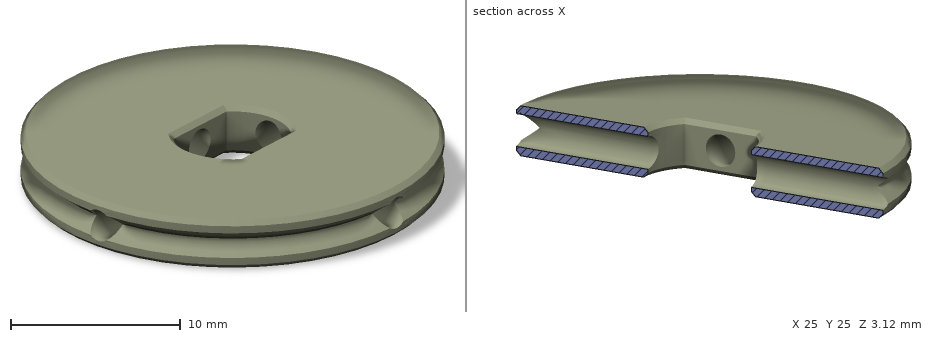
import cadquery as cq

disc_diameter = 25.0
disc_thickness = 3.12
edge_chamfer = 0.3

groove_width = 1.6
groove_depth = 1.0

bore_diameter = 7.0
bore_across_flats = 4.97
bore_chamfer = 0.3

radial_hole_diameter = 2.0
radial_hole_count = 4

seam_turn = 45

disc_radius = disc_diameter / 2
half_thickness = disc_thickness / 2


def grooved_disc():
    """Disc centred on the origin with chamfered rims and a V-groove around its edge."""
    rim_face_radius = disc_radius - edge_chamfer
    rim_height = half_thickness - edge_chamfer
    half_groove = groove_width / 2
    return (
        cq.Workplane("XZ")
        .moveTo(0, -half_thickness)
        .lineTo(rim_face_radius, -half_thickness)
        .lineTo(disc_radius, -rim_height)
        .lineTo(disc_radius, -half_groove)
        .lineTo(disc_radius - groove_depth, 0)
        .lineTo(disc_radius, half_groove)
        .lineTo(disc_radius, rim_height)
        .lineTo(rim_face_radius, half_thickness)
        .lineTo(0, half_thickness)
        .close()
        .revolve(360, (0, 0, 0), (0, 1, 0))
    )


def double_flat_bore():
    """Cutter for the round bore with two flats facing along X."""
    round_bore = cq.Workplane("XY").circle(bore_diameter / 2).extrude(half_thickness, both=True)
    flats = cq.Workplane("XY").box(bore_across_flats, bore_diameter, disc_thickness)
    return round_bore.intersect(flats)


def bore_mouth():
    """Cutter that chamfers the +Z mouth of the bore by the same amount on arcs and flats."""
    mouth_radius = bore_diameter / 2 + bore_chamfer
    mouth_across_flats = bore_across_flats + 2 * bore_chamfer
    cone = cq.Workplane("XY").add(
        cq.Solid.makeCone(
            bore_diameter / 2,
            mouth_radius,
            bore_chamfer,
            pnt=cq.Vector(0, 0, half_thickness - bore_chamfer),
        )
    )
    wedge = (
        cq.Workplane("XZ")
        .moveTo(-bore_across_flats / 2, half_thickness - bore_chamfer)
        .lineTo(bore_across_flats / 2, half_thickness - bore_chamfer)
        .lineTo(mouth_across_flats / 2, half_thickness)
        .lineTo(-mouth_across_flats / 2, half_thickness)
        .close()
        .extrude(mouth_radius, both=True)
    )
    return cone.intersect(wedge)


def radial_hole(direction):
    """Cutter for one hole from the bore out through the rim, pointing at the given angle about Z."""
    hole = cq.Workplane("YZ").circle(radial_hole_diameter / 2).extrude(disc_diameter)
    hole = hole.rotate((0, 0, 0), (1, 0, 0), seam_turn)
    return hole.rotate((0, 0, 0), (0, 0, 1), direction)


result = grooved_disc().cut(double_flat_bore())

upper_mouth = bore_mouth()
lower_mouth = upper_mouth.mirror("XY")
for mouth in (upper_mouth, lower_mouth):
    result = result.cut(mouth)

for hole_index in range(radial_hole_count):
    result = result.cut(radial_hole(hole_index * 360 / radial_hole_count))